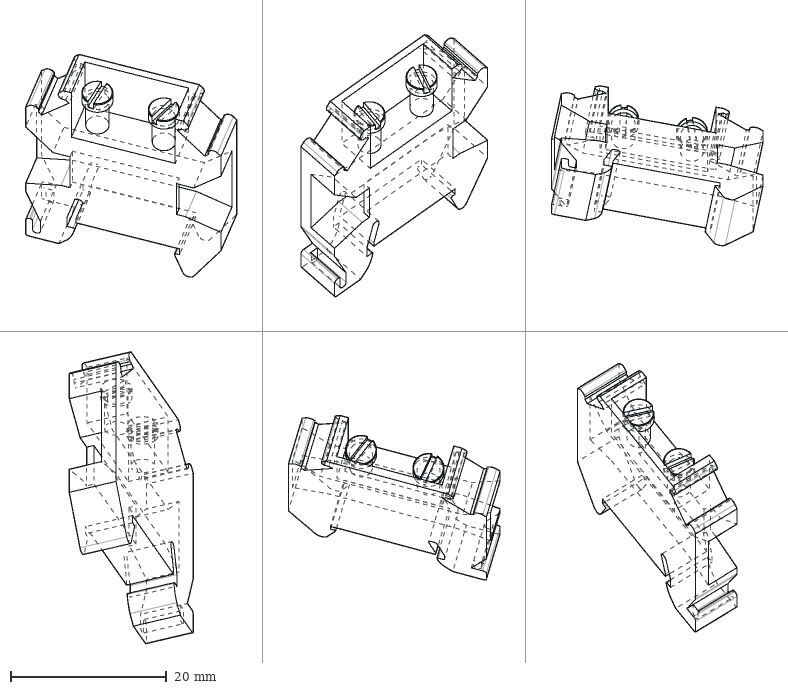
import math

import cadquery as cq

LENGTH = 26.43
THICKNESS = 6.5
HEIGHT = 30.5
HALF_LENGTH = LENGTH / 2

HOOK_RADIUS = 0.75
LOWER_HOOK_PEAK = (12.21, 26.42)
LOWER_HOOK_INNER_X = 11.48
RAMP_TOP_X = 7.35
RAMP_BOTTOM_X = 11.03
RAMP_BOTTOM_Z = 24.65

RAIL_SEAT_Z = 5.05
RAIL_LIP_Z = 3.93
RAIL_EDGE_X = 7.6
CLAW_LIP_X = 6.82
CLAW_LIP_RADIUS = 0.2
CLAW_SHOULDER_Z = 6.75
CLAW_INNER_ANGLE = 20
CLAW_OUTER_ANGLE = 30
CLAW_TIP_RADIUS = 0.836

FOOT_TOP_Z = 3.6
FOOT_BOTTOM_Z = 0.1
FOOT_TOP_CORNER_RADIUS = 0.5
FOOT_BOTTOM_CORNER_RADIUS = 0.4
FOOT_SHOULDER_Z = 8.75
FOOT_SHOULDER_RADIUS = 1.0
FOOT_HEEL_X = -8.72
FOOT_LIP_X = -6.6
FOOT_NOSE_START = (-7.55, 1.3)
FOOT_NOSE_MIDDLE = (-6.95, 2.4)
FOOT_NOSE_END_Z = 3.7
SPRING_SLOT_LEFT_X = -7.6
SPRING_SLOT_BEND_Z = 5.75
SPRING_SLOT_WIDTH = 1.17
SPRING_SLOT_TOP_Z = 9.82
SPRING_SLOT_ANGLE = 15

GROOVE_WIDTH = 1.06
GROOVE_RIGHT_X = -11.22
GROOVE_BOTTOM_Z = 1.1
GROOVE_DEPTH = 5.5
GROOVE_EDGE_RADIUS = 0.25

RECESS_WIDTH = 14.06
RECESS_FLOOR_Z = 21.75
RECESS_DEPTH = 5.5

ENTRY_DEPTH = 4.5
ENTRY_MOUTH_TOP_Z = 21.5
ENTRY_MOUTH_BOTTOM_Z = 10.4
ENTRY_INNER_X = 7.22
ENTRY_RAMP_END_X = 8.42
TUNNEL_TOP_Z = 17.8
TUNNEL_BOTTOM_Z = 11.72
TUNNEL_FRONT_Y = 1.0

SCREW_SPACING = 9.0
SCREW_Y = 3.0
SHANK_DIAMETER = 3.0
HEAD_DIAMETER = 4.0
HEAD_BOTTOM_Z = 26.6
HEAD_TOP_Z = 28.17
HEAD_CHAMFER = 0.1
DRIVER_SLOT_WIDTH = 0.8
DRIVER_SLOT_DEPTH = 1.0
LEFT_DRIVER_SLOT_ANGLE = 82
RIGHT_DRIVER_SLOT_ANGLE = 69


def tangent(degrees):
    return math.tan(math.radians(degrees))


def toward(start, end, distance):
    """Point on the line from start to end, at the given distance from start."""
    scale = distance / math.dist(start, end)
    return tuple(a + scale * (b - a) for a, b in zip(start, end))


def add_rounded_corner(path, previous, corner, following, radius):
    """Continue the path to a corner and round it with a tangent arc."""
    before = toward(corner, previous, 1)
    after = toward(corner, following, 1)
    chord_middle = toward(before, after, math.dist(before, after) / 2)
    half_angle = math.asin(math.dist(before, after) / 2)
    setback = radius / math.tan(half_angle)
    middle_distance = radius / math.sin(half_angle) - radius
    path = path.lineTo(*toward(corner, previous, setback))
    arc_middle = toward(corner, chord_middle, middle_distance)
    return path.threePointArc(arc_middle, toward(corner, following, setback))


def front_plane():
    """XZ sketch plane at the open face; negative extrusion goes toward +Y."""
    return cq.Workplane(cq.Plane(origin=(0, 0, 0), xDir=(1, 0, 0), normal=(0, -1, 0)))


def upper_corner(side):
    """Points and radii from the end face up to the top face, on side -1 or +1.

    Every edge is upright, level or at 45 degrees, and the upper hook is the lower hook
    mirrored across the perpendicular bisector of the ramp between them.
    """
    peak_x, peak_z = LOWER_HOOK_PEAK
    lower_hook = [
        (HALF_LENGTH, peak_z - (HALF_LENGTH - peak_x), 0),
        (peak_x, peak_z, HOOK_RADIUS),
        (LOWER_HOOK_INNER_X, peak_z - (peak_x - LOWER_HOOK_INNER_X), 0),
        (LOWER_HOOK_INNER_X, RAMP_BOTTOM_Z + LOWER_HOOK_INNER_X - RAMP_BOTTOM_X, 0),
        (RAMP_BOTTOM_X, RAMP_BOTTOM_Z, 0),
    ]
    mirror_offset = RAMP_BOTTOM_Z - RAMP_TOP_X
    upper_hook = [(z - mirror_offset, x + mirror_offset, radius) for x, z, radius in reversed(lower_hook[1:])]
    upper_peak_x, upper_peak_z, _ = upper_hook[-1]
    top_end = (upper_peak_x - (HEIGHT - upper_peak_z), HEIGHT, 0)
    return [(side * x, z, radius) for x, z, radius in [*lower_hook, *upper_hook, top_end]]


def claw_corners():
    """Points and radii of the fixed claw, from the rail seat to the end face."""
    inner_slope = tangent(CLAW_INNER_ANGLE)
    outer_slope = tangent(CLAW_OUTER_ANGLE)
    inner_x_at_zero = CLAW_LIP_X + RAIL_LIP_Z * inner_slope
    outer_x_at_zero = HALF_LENGTH - CLAW_SHOULDER_Z * outer_slope
    tip_z = (inner_x_at_zero - outer_x_at_zero) / (inner_slope + outer_slope)
    tip_x = outer_x_at_zero + tip_z * outer_slope
    return [
        (RAIL_EDGE_X, RAIL_SEAT_Z, 0),
        (RAIL_EDGE_X, RAIL_LIP_Z, 0),
        (CLAW_LIP_X, RAIL_LIP_Z, CLAW_LIP_RADIUS),
        (tip_x, tip_z, CLAW_TIP_RADIUS),
        (HALF_LENGTH, CLAW_SHOULDER_Z, 0),
    ]


def make_body():
    """Full-thickness body with hooks, rail seat, claw and the outside of the foot."""
    corners = [
        (FOOT_LIP_X, RAIL_LIP_Z, CLAW_LIP_RADIUS),
        (SPRING_SLOT_LEFT_X, RAIL_LIP_Z, 0),
        (SPRING_SLOT_LEFT_X, RAIL_SEAT_Z, 0),
        *claw_corners(),
        *upper_corner(1),
        *reversed(upper_corner(-1)),
        (-HALF_LENGTH, FOOT_SHOULDER_Z, FOOT_SHOULDER_RADIUS),
        (GROOVE_RIGHT_X, FOOT_TOP_Z, 0),
        (-HALF_LENGTH, FOOT_TOP_Z, FOOT_TOP_CORNER_RADIUS),
        (-HALF_LENGTH, FOOT_BOTTOM_Z, FOOT_BOTTOM_CORNER_RADIUS),
        (FOOT_HEEL_X, FOOT_BOTTOM_Z, 0),
    ]
    nose_end = (FOOT_LIP_X, FOOT_NOSE_END_Z)
    path = front_plane().moveTo(*FOOT_NOSE_START).threePointArc(FOOT_NOSE_MIDDLE, nose_end)
    neighbours = [nose_end, *(corner[:2] for corner in corners), FOOT_NOSE_START]
    for index, (x, z, radius) in enumerate(corners):
        if radius:
            path = add_rounded_corner(path, neighbours[index], (x, z), neighbours[index + 2], radius)
        else:
            path = path.lineTo(x, z)
    return path.close().extrude(-THICKNESS)


def make_spring_slot():
    """Slanted slot with a round top that frees the spring foot from the rail seat."""
    right_x = SPRING_SLOT_LEFT_X + SPRING_SLOT_WIDTH
    lean = math.radians(SPRING_SLOT_ANGLE)
    radius = SPRING_SLOT_WIDTH * math.cos(lean) / 2
    centre_z = SPRING_SLOT_TOP_Z - radius
    middle_x = SPRING_SLOT_LEFT_X + SPRING_SLOT_WIDTH / 2
    centre_x = middle_x + (centre_z - SPRING_SLOT_BEND_Z) * math.tan(lean)
    across = (radius * math.cos(lean), -radius * math.sin(lean))
    along = (radius * math.sin(lean), radius * math.cos(lean))
    return (
        front_plane()
        .moveTo(SPRING_SLOT_LEFT_X, RAIL_SEAT_Z)
        .lineTo(SPRING_SLOT_LEFT_X, SPRING_SLOT_BEND_Z)
        .lineTo(centre_x - across[0], centre_z - across[1])
        .threePointArc(
            (centre_x + along[0], centre_z + along[1]),
            (centre_x + across[0], centre_z + across[1]),
        )
        .lineTo(right_x, SPRING_SLOT_BEND_Z)
        .lineTo(right_x, RAIL_SEAT_Z)
        .close()
        .extrude(-THICKNESS)
    )


def make_groove():
    """Blind round-bottomed groove, open at the front and top of the foot."""
    radius = GROOVE_WIDTH / 2
    left_x = GROOVE_RIGHT_X - GROOVE_WIDTH
    centre_z = GROOVE_BOTTOM_Z + radius
    edge_diagonal = GROOVE_EDGE_RADIUS * (1 - math.sqrt(0.5))
    return (
        front_plane()
        .moveTo(GROOVE_RIGHT_X, FOOT_TOP_Z)
        .lineTo(GROOVE_RIGHT_X, centre_z)
        .threePointArc((GROOVE_RIGHT_X - radius, GROOVE_BOTTOM_Z), (left_x, centre_z))
        .lineTo(left_x, FOOT_TOP_Z - GROOVE_EDGE_RADIUS)
        .threePointArc(
            (left_x - edge_diagonal, FOOT_TOP_Z - edge_diagonal),
            (left_x - GROOVE_EDGE_RADIUS, FOOT_TOP_Z),
        )
        .close()
        .extrude(-GROOVE_DEPTH)
    )


def make_recess():
    """Pocket around the screws, open at the front and top."""
    height = HEIGHT - RECESS_FLOOR_Z
    recess = cq.Workplane("XY").box(RECESS_WIDTH, RECESS_DEPTH, height, centered=(True, False, False))
    return recess.translate((0, 0, RECESS_FLOOR_Z))


def make_wire_entry(side):
    """Funnel-shaped entry, open at the front and at the end face on side -1 or +1."""
    upper_ramp_end_x = HALF_LENGTH - (ENTRY_MOUTH_TOP_Z - TUNNEL_TOP_Z)
    points = [
        (HALF_LENGTH, ENTRY_MOUTH_TOP_Z),
        (upper_ramp_end_x, TUNNEL_TOP_Z),
        (ENTRY_INNER_X, TUNNEL_TOP_Z),
        (ENTRY_INNER_X, TUNNEL_BOTTOM_Z),
        (ENTRY_RAMP_END_X, TUNNEL_BOTTOM_Z),
        (HALF_LENGTH, ENTRY_MOUTH_BOTTOM_Z),
    ]
    return front_plane().polyline([(side * x, z) for x, z in points]).close().extrude(-ENTRY_DEPTH)


def make_tunnel():
    """Rectangular passage between the two wire entries, behind the front wall."""
    depth = ENTRY_DEPTH - TUNNEL_FRONT_Y
    height = TUNNEL_TOP_Z - TUNNEL_BOTTOM_Z
    tunnel = cq.Workplane("XY").box(2 * ENTRY_INNER_X, depth, height, centered=(True, False, False))
    return tunnel.translate((0, TUNNEL_FRONT_Y, TUNNEL_BOTTOM_Z))


def make_screw(x, slot_angle):
    """Slotted cheese-head screw standing on the recess floor."""
    shank_length = HEAD_BOTTOM_Z - RECESS_FLOOR_Z
    head_height = HEAD_TOP_Z - HEAD_BOTTOM_Z
    shank = cq.Workplane("XY").circle(SHANK_DIAMETER / 2).extrude(shank_length)
    head = cq.Workplane("XY").workplane(offset=shank_length).circle(HEAD_DIAMETER / 2).extrude(head_height)
    head = head.faces(">Z").edges().chamfer(HEAD_CHAMFER)
    slot = (
        cq.Workplane("XY")
        .workplane(offset=shank_length + head_height)
        .transformed(rotate=(0, 0, slot_angle))
        .rect(2 * HEAD_DIAMETER, DRIVER_SLOT_WIDTH)
        .extrude(-DRIVER_SLOT_DEPTH)
    )
    return shank.union(head).cut(slot).translate((x, SCREW_Y, RECESS_FLOOR_Z))


result = make_body()
result = result.cut(make_spring_slot()).cut(make_groove()).cut(make_recess()).cut(make_tunnel())
for end in (-1, 1):
    result = result.cut(make_wire_entry(end))
result = result.union(make_screw(-SCREW_SPACING / 2, LEFT_DRIVER_SLOT_ANGLE))
result = result.union(make_screw(SCREW_SPACING / 2, RIGHT_DRIVER_SLOT_ANGLE))